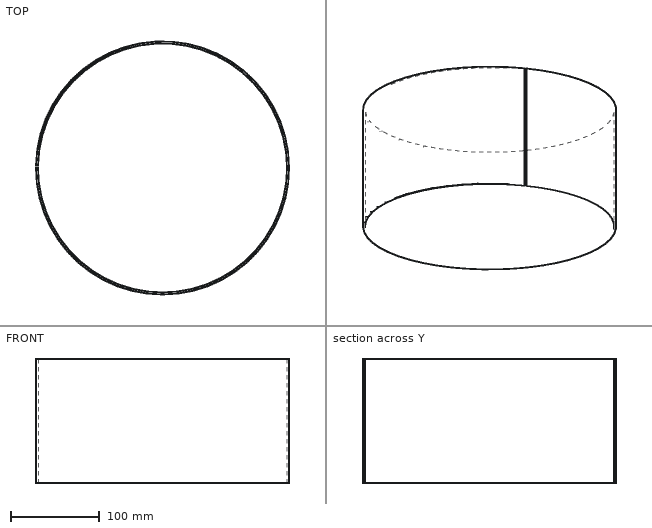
import cadquery as cq

outer_diameter = 285.0
height = 140.0
wall = 2.5
gap_width = 2.5
rim_fillet = 0.43

outer_radius = outer_diameter / 2
inner_radius = outer_radius - wall
gap_cut_length = 4 * wall

band = (
    cq.Workplane("XY")
    .circle(outer_radius)
    .circle(inner_radius)
    .extrude(height)
    .edges("%CIRCLE")
    .fillet(rim_fillet)
)

gap = (
    cq.Workplane("XY")
    .center(-outer_radius, gap_width / 2)
    .rect(gap_cut_length, gap_width)
    .extrude(height)
)

result = band.cut(gap)